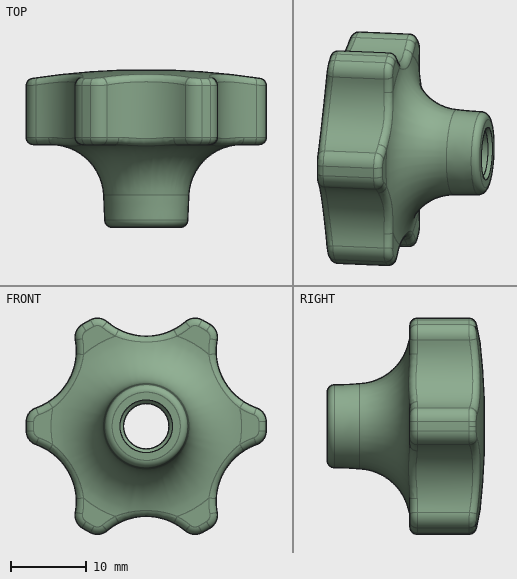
import cadquery as cq
import math

total_length = 21.0
head_start = 11.0
head_radius = 16.0
dome_radius = 100.0

lobe_count = 6
scallop_radius = 8.0
scallop_pitch_radius = 20.0
lobe_corner_radius = 2.0
rim_fillet = 1.0

hub_face_radius = 5.5
hub_draft = math.radians(2.5)
hub_fillet = 1.0
flare_radius = 7.0

bore_radius = 3.0
bore_chamfer = 0.5

prism_overrun = 1.0
tolerance = 0.01


def polar(radius, angle, center=(0, 0)):
    """Point at a radius and angle about a centre."""
    return (center[0] + radius * math.cos(angle), center[1] + radius * math.sin(angle))


def turned(point, angle):
    """Point turned about the knob axis."""
    return polar(math.hypot(*point), math.atan2(point[1], point[0]) + angle)


def mirrored(point):
    """Point mirrored across the centreline of a lobe at angle zero."""
    return (point[0], -point[1])


def make_body():
    """Turned blank: tapered hub, flare, domed head and a bore chamfered at both ends."""
    flare_center_y = head_start - flare_radius
    flare_center_radius = (
        hub_face_radius + flare_center_y * math.tan(hub_draft) + flare_radius / math.cos(hub_draft)
    )

    def flare_point(angle):
        return (
            flare_center_radius - flare_radius * math.cos(angle),
            flare_center_y + flare_radius * math.sin(angle),
        )

    blank_radius = head_radius + rim_fillet
    dome_center_y = total_length - dome_radius

    def dome_point(radius):
        return (radius, dome_center_y + math.sqrt(dome_radius**2 - radius**2))

    mouth_radius = bore_radius + bore_chamfer
    back_mouth = dome_point(mouth_radius)
    profile = (
        cq.Workplane("XY")
        .moveTo(bore_radius, bore_chamfer)
        .lineTo(mouth_radius, 0)
        .lineTo(hub_face_radius, 0)
        .lineTo(*flare_point(hub_draft))
        .threePointArc(flare_point(math.pi / 4), (flare_center_radius, head_start))
        .lineTo(blank_radius, head_start)
        .lineTo(*dome_point(blank_radius))
        .threePointArc(dome_point(head_radius / 2), back_mouth)
        .lineTo(bore_radius, back_mouth[1] - bore_chamfer)
        .close()
    )
    return profile.revolve(360, (0, 0, 0), (0, 1, 0))


def make_grip_prism():
    """Star-shaped prism: lobe tip, rounded corner, scallop and rounded corner, repeated around the axis."""
    pitch_angle = 2 * math.pi / lobe_count
    corner_pitch_radius = head_radius - lobe_corner_radius
    corner_to_scallop = scallop_radius + lobe_corner_radius
    corner_from_scallop = math.acos(
        (scallop_pitch_radius**2 + corner_pitch_radius**2 - corner_to_scallop**2)
        / (2 * scallop_pitch_radius * corner_pitch_radius)
    )
    tip_half_angle = pitch_angle / 2 - corner_from_scallop
    corner_end_angle = math.atan2(
        scallop_pitch_radius * math.sin(pitch_angle / 2) - corner_pitch_radius * math.sin(tip_half_angle),
        scallop_pitch_radius * math.cos(pitch_angle / 2) - corner_pitch_radius * math.cos(tip_half_angle),
    )
    corner_center = polar(corner_pitch_radius, tip_half_angle)
    corner_middle = polar(lobe_corner_radius, (tip_half_angle + corner_end_angle) / 2, corner_center)
    corner_end = polar(lobe_corner_radius, corner_end_angle, corner_center)

    outline = cq.Workplane("XZ", origin=(0, -prism_overrun, 0)).moveTo(*polar(head_radius, -tip_half_angle))
    for lobe in range(lobe_count):
        lobe_angle = lobe * pitch_angle
        next_angle = lobe_angle + pitch_angle
        tip = polar(head_radius, lobe_angle)
        tip_end = polar(head_radius, lobe_angle + tip_half_angle)
        next_tip_start = polar(head_radius, next_angle - tip_half_angle)
        scallop_floor = polar(scallop_pitch_radius - scallop_radius, lobe_angle + pitch_angle / 2)
        outline = (
            outline.threePointArc(tip, tip_end)
            .threePointArc(turned(corner_middle, lobe_angle), turned(corner_end, lobe_angle))
            .threePointArc(scallop_floor, turned(mirrored(corner_end), next_angle))
            .threePointArc(turned(mirrored(corner_middle), next_angle), next_tip_start)
        )
    return outline.close().extrude(-(total_length + 2 * prism_overrun))


def is_flare_end(edge):
    """Whether an edge is part of the circle where the flare meets the underside of a lobe."""
    if edge.geomType() != "CIRCLE":
        return False
    center = edge.arcCenter()
    on_axis = math.hypot(center.x, center.z) < tolerance
    return on_axis and edge.radius() < head_radius - tolerance


def rim_edges(knob):
    """Edges round the front and back of the grip wall, without the wall's own corner lines."""
    scallop_floor_radius = scallop_pitch_radius - scallop_radius
    edges = []
    for edge in knob.edges().vals():
        box = edge.BoundingBox()
        is_wall_line = box.ylen > max(box.xlen, box.zlen)
        middle = edge.positionAt(0.5)
        is_outside = math.hypot(middle.x, middle.z) > scallop_floor_radius - tolerance
        if is_outside and not is_wall_line and not is_flare_end(edge):
            edges.append(edge)
    return knob.newObject(edges)


def round_edges(knob):
    """Round the grip rims and the outer edge of the hub face."""
    knob = rim_edges(knob).fillet(rim_fillet)
    hub_face_edge = knob.faces("<Y").edges(cq.selectors.RadiusNthSelector(-1))
    return hub_face_edge.fillet(hub_fillet)


result = round_edges(make_body().intersect(make_grip_prism()))